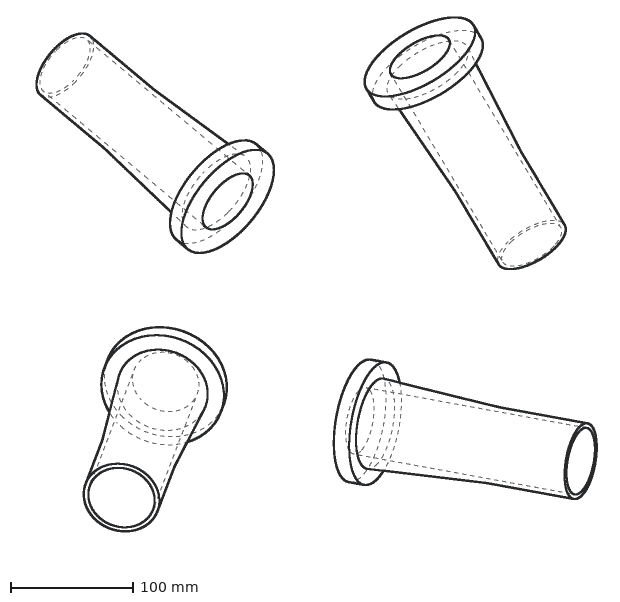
import cadquery as cq

total_length = 199.0
pipe_length = 78.2
flange_thickness = 14.0
bore_diameter = 55.3
pipe_diameter = 63.0
cone_end_diameter = 75.2
flange_diameter = 102.0

bore_radius = bore_diameter / 2
pipe_radius = pipe_diameter / 2
cone_end_radius = cone_end_diameter / 2
flange_radius = flange_diameter / 2
flange_face = total_length - flange_thickness

wall_section = (
    cq.Workplane("XY")
    .moveTo(0, bore_radius)
    .lineTo(0, pipe_radius)
    .lineTo(pipe_length, pipe_radius)
    .lineTo(flange_face, cone_end_radius)
    .lineTo(flange_face, flange_radius)
    .lineTo(total_length, flange_radius)
    .lineTo(total_length, bore_radius)
    .close()
)

result = wall_section.revolve(360, (0, 0, 0), (1, 0, 0))